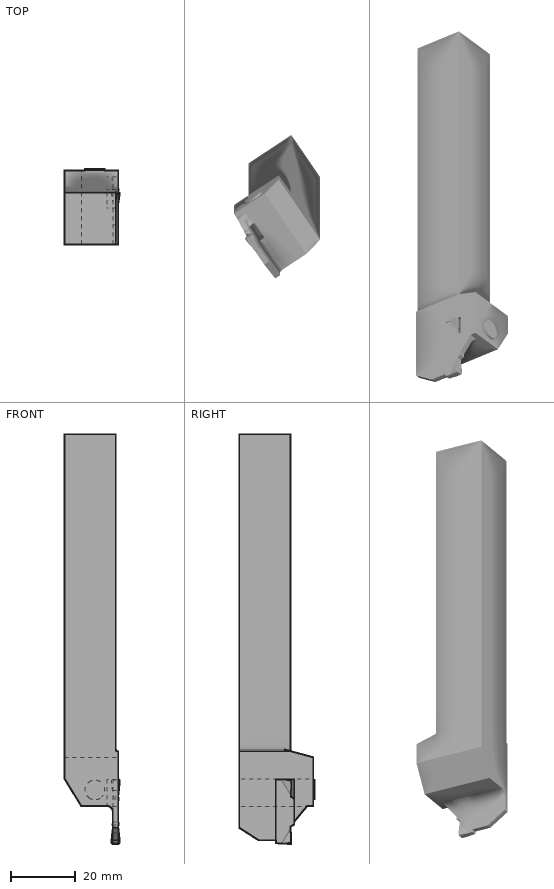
import cadquery as cq
import math


OVERALL_LENGTH = 126.4

SHANK_SIZE = 15.9
SHANK_ROOT_RADIUS = 0.5
HEAD_DEPTH = 22.9
HEAD_TOP = 28.7
HEAD_SLOPE_ANGLE = 15.0
HEAD_BOTTOM = 11.8
SIDE_BEVEL_TOP = 20.2
SIDE_BEVEL_WIDTH = 5.2

BLADE_THICKNESS = 1.8
BLADE_RIGHT = 16.7
BLADE_BOTTOM = 1.1
BLADE_ROOT_RADIUS = 1.8
BLADE_FRONT_BEVEL_Y = 6.1
BLADE_FRONT_BEVEL_TOP = 5.0
JAW_ROOT_Y = 21.0
JAW_END_Z = 7.0
blade_left = BLADE_RIGHT - BLADE_THICKNESS
blade_center = BLADE_RIGHT - BLADE_THICKNESS / 2

SCREW_DIAMETER = 6.1
SCREW_HEIGHT = 0.5
SCREW_X = 9.3
SCREW_Z = 16.8

INSERT_LENGTH = 20.1
INSERT_SEAT_Y = 11.4
INSERT_CLAMP_Y = 17.0
CUTTING_EDGE_Y = 16.0
CHIP_GROOVE_Y = 15.9
CHIP_GROOVE_START = 3.5
CHIP_GROOVE_END = 5.4
CLAMP_FLAT_START = 6.1
END_RELIEF = 0.3
CUTTING_WIDTH = 2.5
CORNER_CHAMFER = 0.4
SIDE_FLARE_ANGLE = 11.0
insert_middle = INSERT_LENGTH / 2

RUNOUT_LOW = (13.4, 0.9)
RUNOUT_HIGH = (15.0, 3.5)

SLOT_FLOOR_X = 13.0


def prism_along_x(points, x_start, x_end):
    """Extrude a (Y, Z) outline between two X positions."""
    outline = cq.Workplane("YZ", origin=(x_start, 0, 0)).polyline(points).close()
    return outline.extrude(x_end - x_start)


def make_shank():
    size = (SHANK_SIZE, SHANK_SIZE, OVERALL_LENGTH - HEAD_TOP)
    return cq.Workplane("XY", origin=(0, 0, HEAD_TOP)).box(*size, centered=False)


def make_head_and_blade():
    """Front outline of the head and blade, trimmed by their side outline."""
    front = (
        cq.Workplane("XZ")
        .moveTo(0, HEAD_TOP)
        .lineTo(0, SIDE_BEVEL_TOP)
        .lineTo(SIDE_BEVEL_WIDTH, HEAD_BOTTOM)
        .lineTo(blade_left - BLADE_ROOT_RADIUS, HEAD_BOTTOM)
        .radiusArc((blade_left, HEAD_BOTTOM - BLADE_ROOT_RADIUS), BLADE_ROOT_RADIUS)
        .lineTo(blade_left, BLADE_BOTTOM)
        .lineTo(BLADE_RIGHT, BLADE_BOTTOM)
        .lineTo(BLADE_RIGHT, HEAD_TOP)
        .close()
        .extrude(-HEAD_DEPTH)
    )
    slope_drop = (HEAD_DEPTH - SHANK_SIZE) * math.tan(math.radians(HEAD_SLOPE_ANGLE))
    side = prism_along_x(
        [
            (0, HEAD_TOP),
            (0, BLADE_FRONT_BEVEL_TOP),
            (BLADE_FRONT_BEVEL_Y, BLADE_BOTTOM),
            (INSERT_SEAT_Y, BLADE_BOTTOM),
            (INSERT_CLAMP_Y, JAW_END_Z),
            (JAW_ROOT_Y, HEAD_BOTTOM),
            (HEAD_DEPTH, HEAD_BOTTOM),
            (HEAD_DEPTH, HEAD_TOP - slope_drop),
            (SHANK_SIZE, HEAD_TOP),
        ],
        0,
        BLADE_RIGHT,
    )
    return front.intersect(side)


def make_insert_slot():
    """Slot open at the blade end and on the +X face, as tall as the insert."""
    size = (BLADE_RIGHT - SLOT_FLOOR_X, INSERT_CLAMP_Y - INSERT_SEAT_Y, INSERT_LENGTH)
    return cq.Workplane("XY", origin=(SLOT_FLOOR_X, INSERT_SEAT_Y, 0)).box(*size, centered=False)


def make_screw_head():
    face = cq.Workplane("XZ", origin=(SCREW_X, HEAD_DEPTH, SCREW_Z))
    return face.circle(SCREW_DIAMETER / 2).extrude(-SCREW_HEIGHT)


def round_shank_root(body):
    """Fillet the inside edge on the +Y side of the shank, then the one on its +X side."""
    half_shank = SHANK_SIZE / 2
    edge_midpoints = [(half_shank, SHANK_SIZE, HEAD_TOP), (SHANK_SIZE, half_shank, HEAD_TOP)]
    for midpoint in edge_midpoints:
        root_edge = cq.selectors.NearestToPointSelector(midpoint)
        body = body.edges(root_edge).fillet(SHANK_ROOT_RADIUS)
    return body


def make_holder():
    body = round_shank_root(make_shank().union(make_head_and_blade()))
    return body.cut(make_insert_slot()).union(make_screw_head())


def make_insert_envelope():
    """Side outline of the insert at full cutting width, with chamfered cutting corners."""
    lower_end = [
        (INSERT_CLAMP_Y, CLAMP_FLAT_START),
        (CHIP_GROOVE_Y, CHIP_GROOVE_END),
        (CHIP_GROOVE_Y, CHIP_GROOVE_START),
        (CUTTING_EDGE_Y, CHIP_GROOVE_START),
        (CUTTING_EDGE_Y, 0),
        (INSERT_SEAT_Y, END_RELIEF),
    ]
    upper_end = [(y, INSERT_LENGTH - z) for y, z in reversed(lower_end)]
    half_width = CUTTING_WIDTH / 2
    side = prism_along_x(lower_end + upper_end, blade_center - half_width, blade_center + half_width)
    front = (
        cq.Workplane("XY", origin=(blade_center, 0, insert_middle))
        .box(CUTTING_WIDTH, INSERT_CLAMP_Y, INSERT_LENGTH, centered=(True, False, True))
        .edges("|Y")
        .chamfer(CORNER_CHAMFER)
    )
    return side.intersect(front)


def make_tip_wedge():
    """Wedge that flares from the runout line to beyond full width at the lower cutting corner."""
    run_y = RUNOUT_HIGH[0] - RUNOUT_LOW[0]
    run_z = RUNOUT_HIGH[1] - RUNOUT_LOW[1]
    corner_y = CUTTING_EDGE_Y - RUNOUT_LOW[0]
    corner_z = -RUNOUT_LOW[1]
    reach = (corner_y * run_z - corner_z * run_y) / math.hypot(run_y, run_z)
    outer_half_width = BLADE_THICKNESS / 2 + reach * math.tan(math.radians(SIDE_FLARE_ANGLE))
    section = cq.Plane(
        origin=(blade_center, *RUNOUT_LOW),
        xDir=(1, 0, 0),
        normal=(0, run_y, run_z),
    )
    return (
        cq.Workplane(section)
        .moveTo(-BLADE_THICKNESS / 2, 0)
        .lineTo(BLADE_THICKNESS / 2, 0)
        .lineTo(outer_half_width, reach)
        .lineTo(-outer_half_width, reach)
        .close()
        .extrude(INSERT_LENGTH / 2, both=True)
    )


def make_insert():
    core = cq.Workplane("XY", origin=(blade_left, 0, 0)).box(
        BLADE_THICKNESS, INSERT_CLAMP_Y, INSERT_LENGTH, centered=False
    )
    envelope = make_insert_envelope()
    lower_tip = make_tip_wedge().intersect(envelope)
    upper_tip = lower_tip.mirror("XY", (0, 0, insert_middle))
    return core.intersect(envelope).union(lower_tip).union(upper_tip)


holder = make_holder()
insert = make_insert()
result = cq.Compound.makeCompound([holder.val(), insert.val()])